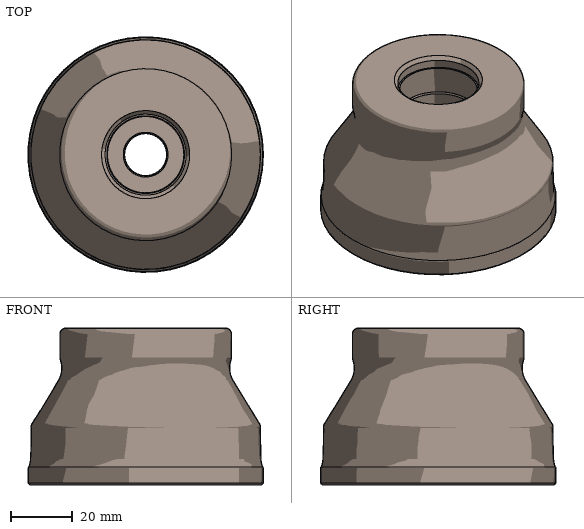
import cadquery as cq

base_radius = 38.1
total_height = 50.8

base_bottom_chamfer = 0.7
ring_top_z = 5.4
joint_z = 5.9
joint_radius = 37.9
hole_radius = 6.8
hole_chamfer = 0.45

skirt_bottom_z = 8.45
skirt_bottom_radius = 37.3
skirt_top_z = 18.4
skirt_top_radius = 37.1
cone_bottom_z = 19.8
cone_bottom_radius = 36.9
cone_top_z = 33.9
cone_top_radius = 28.3

neck_waist_z = 37.65
neck_waist_radius = 27.2
neck_top_z = 40.3
neck_top_radius = 27.6
collar_bottom_z = 41.2
collar_radius = 27.8
collar_round = 2.0

mouth_radius = 13.1
mouth_depth = 3.9
mouth_chamfer = 1.15
seat_radius = 12.6
seat_depth = 13.0
bore_radius = 12.35
seat_taper_height = 0.6


def make_base():
    """Ring-shaped base whose rounded rim meets the housing at joint_z."""
    profile = (
        cq.Workplane("XZ")
        .moveTo(hole_radius, 0)
        .lineTo(base_radius - base_bottom_chamfer, 0)
        .lineTo(base_radius, base_bottom_chamfer)
        .lineTo(base_radius, ring_top_z)
        .tangentArcPoint((joint_radius, joint_z), relative=False)
        .lineTo(hole_radius + hole_chamfer, joint_z)
        .lineTo(hole_radius, joint_z - hole_chamfer)
        .close()
    )
    return profile.revolve(360, (0, 0, 0), (0, 1, 0))


def make_housing_body():
    """Solid turned shape of the housing, before the bore is cut."""
    profile = (
        cq.Workplane("XZ")
        .moveTo(skirt_top_radius, skirt_top_z)
        .lineTo(skirt_bottom_radius, skirt_bottom_z)
        .tangentArcPoint((joint_radius, joint_z), relative=False)
        .lineTo(0, joint_z)
        .lineTo(0, total_height)
        .lineTo(collar_radius - collar_round, total_height)
        .tangentArcPoint((collar_radius, total_height - collar_round), relative=False)
        .lineTo(collar_radius, collar_bottom_z)
        .lineTo(neck_top_radius, neck_top_z)
        .threePointArc((neck_waist_radius, neck_waist_z), (cone_top_radius, cone_top_z))
        .lineTo(cone_bottom_radius, cone_bottom_z)
        .tangentArcPoint((skirt_top_radius, skirt_top_z), relative=False)
        .close()
    )
    return profile.revolve(360, (0, 0, 0), (0, 1, 0))


def make_bore():
    """Stepped through bore: chamfered mouth, seat, then the long bore."""
    seat_z = total_height - seat_depth
    mouth_z = total_height - mouth_depth
    profile = (
        cq.Workplane("XZ")
        .moveTo(0, joint_z)
        .lineTo(bore_radius, joint_z)
        .lineTo(bore_radius, seat_z - seat_taper_height)
        .lineTo(seat_radius, seat_z)
        .lineTo(seat_radius, mouth_z)
        .lineTo(mouth_radius, mouth_z)
        .lineTo(mouth_radius, total_height - mouth_chamfer)
        .lineTo(mouth_radius + mouth_chamfer, total_height)
        .lineTo(0, total_height)
        .close()
    )
    return profile.revolve(360, (0, 0, 0), (0, 1, 0))


base = make_base()
housing = make_housing_body().cut(make_bore())

result = cq.Compound.makeCompound([base.val(), housing.val()])